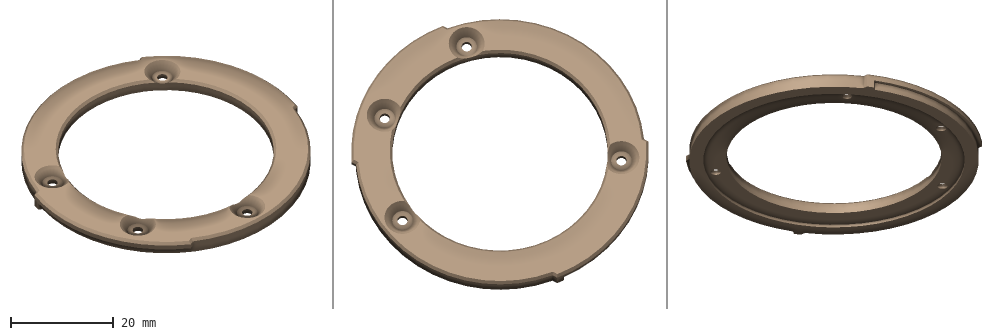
import cadquery as cq
import math

ring_radius = 28.2
bore_radius = 21.0
thickness = 3.1
edge_chamfer = 0.5

recess_diameter = 51.0
recess_depth = 0.6

tab_radius = 29.0
tab_bottom = 1.6
tab_stop_end = 17.3
tab_free_end = 16.7

stop_corner_x = -16.15
stop_side_angle = 28.0

screw_circle_radius = 23.7
screw_angles = (117.3, 226.7, 282.2, 337.5)
screw_hole_diameter = 2.0
countersink_top_diameter = 7.0
countersink_floor_diameter = 4.0
countersink_depth = 1.5

half_turn = 180.0


def rim_y(x, radius):
    """Y on the -Y half of a circle about the ring axis."""
    return -math.sqrt(radius**2 - x**2)


def make_tab():
    """Tab on the -Y side, ending in flat walls parallel to the YZ plane."""
    height = thickness - tab_bottom
    return (
        cq.Workplane("XY", origin=(0, 0, tab_bottom))
        .moveTo(-tab_stop_end, 0)
        .lineTo(-tab_stop_end, rim_y(tab_stop_end, tab_radius))
        .threePointArc((0, -tab_radius), (tab_free_end, rim_y(tab_free_end, tab_radius)))
        .lineTo(tab_free_end, 0)
        .close()
        .extrude(height)
    )


def make_stop():
    """Stop block under the -X end of the tab, with a slanted inner side wall."""
    corner_y = rim_y(stop_corner_x, tab_radius)
    tab_step = tab_radius - ring_radius
    side_length = 2 * tab_step
    ring_overlap_radius = ring_radius - tab_step
    angle = math.radians(stop_side_angle)
    side_end = (
        stop_corner_x + side_length * math.cos(angle),
        corner_y + side_length * math.sin(angle),
    )
    middle_x = (stop_corner_x - tab_stop_end) / 2
    return (
        cq.Workplane("XY")
        .moveTo(-tab_stop_end, rim_y(tab_stop_end, tab_radius))
        .threePointArc((middle_x, rim_y(middle_x, tab_radius)), (stop_corner_x, corner_y))
        .lineTo(*side_end)
        .lineTo(-tab_stop_end, rim_y(tab_stop_end, ring_overlap_radius))
        .close()
        .extrude(tab_bottom)
    )


def make_screw_cutter(angle):
    """Through hole with a flat-bottomed conical countersink."""
    x = screw_circle_radius * math.cos(math.radians(angle))
    y = screw_circle_radius * math.sin(math.radians(angle))
    hole = cq.Workplane("XY").center(x, y).circle(screw_hole_diameter / 2).extrude(thickness)
    cone = (
        cq.Workplane("XY", origin=(x, y, thickness - countersink_depth))
        .circle(countersink_floor_diameter / 2)
        .workplane(offset=countersink_depth)
        .circle(countersink_top_diameter / 2)
        .loft()
    )
    return hole.union(cone)


def make_body():
    body = cq.Workplane("XY").circle(ring_radius).extrude(thickness)
    lug = make_tab().union(make_stop())
    for turn in (0, half_turn):
        body = body.union(lug.rotate((0, 0, 0), (0, 0, 1), turn))
    bore = cq.Workplane("XY").circle(bore_radius).extrude(thickness)
    recess = cq.Workplane("XY").circle(recess_diameter / 2).extrude(recess_depth)
    return body.cut(bore).cut(recess).faces(">Z").edges().chamfer(edge_chamfer)


result = make_body()
for screw_angle in screw_angles:
    result = result.cut(make_screw_cutter(screw_angle))